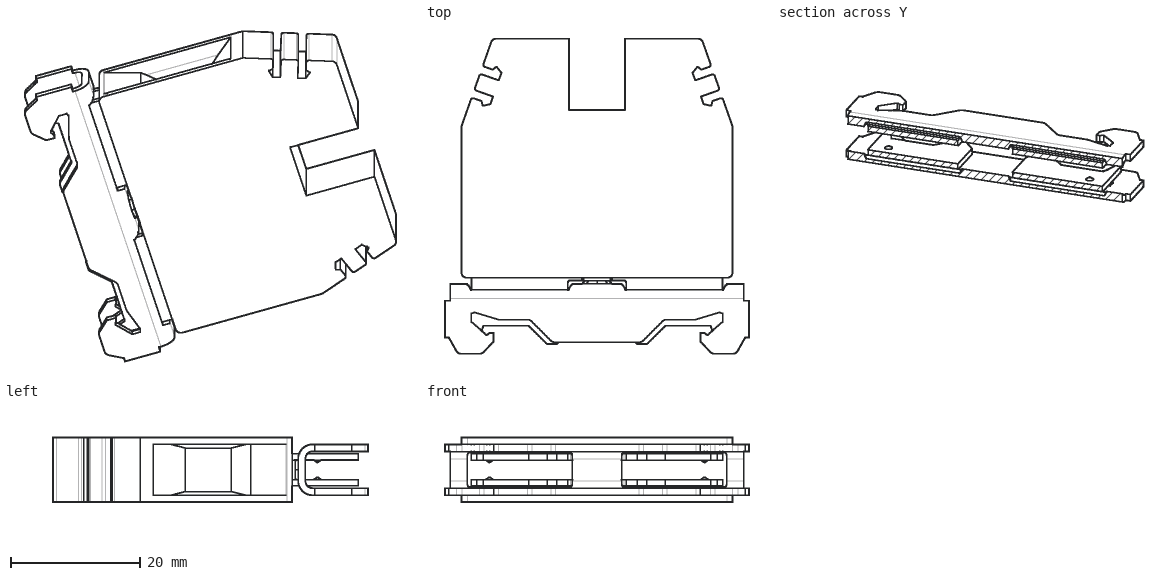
import cadquery as cq
import math


TOTAL_HEIGHT = 48.75

HOUSING_WIDTH = 10.0
HOUSING_HALF_LENGTH = 20.95
HOUSING_BOTTOM = 11.75
HOUSING_CORNER_RADIUS = 0.9
SHOULDER_HEIGHT = 35.2
TOP_HALF_LENGTH = 16.2
TOP_CORNER_RADIUS = 0.85
NOTCH_HALF_LENGTH = 4.3
NOTCH_DEPTH = 11.0

SLOT_DEPTH = 3.05
SLOT_WIDTH = 1.2
SLOT_BARB_START = 1.65
SLOT_BARB_PEAK = 2.05
SLOT_BARB_HEIGHT = 0.65
SLOT_MOUTH_RADIUS = 0.4
LOWER_SLOT_EDGE = 5.95
UPPER_SLOT_EDGE = 8.65

FUNNEL_DEPTH = 4.15
FUNNEL_TOP = 33.25
FUNNEL_FLOOR_TOP = 28.3
FUNNEL_FLOOR_BOTTOM = 21.15
FUNNEL_KNEE_HEIGHT = 18.2
FUNNEL_KNEE_DEPTH = 1.7
FUNNEL_BOTTOM = 12.8
FUNNEL_HALF_WIDTH = 3.95
FUNNEL_FLOOR_HALF_WIDTH = 3.35
FUNNEL_TAPER_START = 2.25

FOOT_HALF_WIDTH = 3.95
SHEET = 1.1
BEND_RADIUS = 2.25
WEB_TOP = 10.85
WEB_HALF_LENGTH = 22.75
FLANGE_HALF_LENGTH = 23.5
FLANGE_SHOULDER = 8.25

HIP_HEIGHT = 2.55
HIP_HALF_LENGTH = 22.9
HEEL = 21.5
HOOK_TOE = 17.8
HOOK_TIP = 16.0
HOOK_TIP_BOTTOM = 1.9
HOOK_TIP_TOP = 3.25
HOOK_TIP_SHELF = 16.6
HOOK_VALLEY = (17.05, 2.95)
POCKET_BOTTOM = 4.97
POCKET_TOP = 6.25
POCKET_PEAK = (18.95, 6.45)
LEDGE_HEIGHT = 5.3
LEDGE_OUTER = 15.25
LEDGE_INNER = 10.4
KEEL_HEIGHT = 1.8
KEEL_HALF_LENGTH = 6.9
FLANGE_CORNER_RADIUS = 0.98

WINDOW_INNER = 3.8
WINDOW_OUTER = 20.1
WINDOW_BEND_ANGLE = 54
WINDOW_FLARE_START = 2.2
WINDOW_FLARE = 0.8

LEG_INNER_FACE = 1.5
LEG_THICKNESS = 0.98
LEG_INNER = 4.5
LEG_OUTER = 19.4
LEG_BOTTOM = 1.5
LEG_CHAMFER_TOP = 3.5
LEG_TOE_INNER = 6.2
LEG_TOE_OUTER = 7.7
LEG_LEDGE = 4.35
LEG_LEDGE_INNER = 10.6
LEG_LEDGE_OUTER = 17.55
PRONG_INNER = 18.6
LEG_BRIDGE_END = 2.3
LEG_BRIDGE_BOTTOM = 11.35
LEG_CORNER_RADIUS = 0.35
PIP_X = 16.65
PIP_Y = 7.85
PIP_RADIUS = 0.6
PIP_HEIGHT = 0.4

STUD_RADIUS = 2.1
STUD_END = 11.3
STUD_SIDES = 8
STUD_TIP_RADIUS = 1.9
STUD_BASE_RADIUS = 2.35

FLANK_ANGLE = math.atan2(HOUSING_HALF_LENGTH - TOP_HALF_LENGTH, TOTAL_HEIGHT - SHOULDER_HEIGHT)


def both_ends(half):
    """Join a half with its mirror image across X = 0."""
    return half.union(half.mirror("YZ"))


def both_sides(half):
    """Join a half with its mirror image across Z = 0."""
    return half.union(half.mirror("XY"))


def plate(points, z_start, thickness):
    """A flat plate with a straight-sided outline."""
    return cq.Workplane("XY").workplane(offset=z_start).polyline(points).close().extrude(thickness)


def block(x_range, y_range, half_width):
    """A box centred on Z = 0."""
    (x0, x1), (y0, y1) = x_range, y_range
    return plate([(x0, y0), (x1, y0), (x1, y1), (x0, y1)], -half_width, 2 * half_width)


def round_upright_edge(body, point, radius):
    """Round the edge along Z that passes nearest to an XY point."""
    nearest = cq.selectors.NearestToPointSelector((point[0], point[1], 0))
    return body.edges("|Z").edges(nearest).fillet(radius)


def flank_point(inward, along):
    """XY point at a depth into the flank and a distance up it from the shoulder."""
    sine = math.sin(FLANK_ANGLE)
    cosine = math.cos(FLANK_ANGLE)
    x = HOUSING_HALF_LENGTH - inward * cosine - along * sine
    y = SHOULDER_HEIGHT - inward * sine + along * cosine
    return x, y


def marker_slot(straight_edge, direction):
    """Slot square to the flank, with a barb on the side that direction (+1 or -1) points to."""
    barbed_edge = straight_edge + direction * SLOT_WIDTH
    barb_tip = barbed_edge + direction * SLOT_BARB_HEIGHT
    outline = [
        (-SLOT_DEPTH, straight_edge),
        (SLOT_DEPTH, straight_edge),
        (SLOT_DEPTH, barbed_edge),
        (SLOT_BARB_PEAK, barb_tip),
        (SLOT_BARB_START, barbed_edge),
        (-SLOT_DEPTH, barbed_edge),
    ]
    points = [flank_point(inward, along) for inward, along in outline]
    return plate(points, -HOUSING_WIDTH / 2, HOUSING_WIDTH)


def wire_funnel():
    """Stepped funnel in the end face, with side walls that close in near its floor."""
    face = HOUSING_HALF_LENGTH
    floor = face - FUNNEL_DEPTH
    taper = face - FUNNEL_TAPER_START
    profile = plate(
        [
            (face, FUNNEL_BOTTOM),
            (face, FUNNEL_TOP),
            (floor, FUNNEL_FLOOR_TOP),
            (floor, FUNNEL_FLOOR_BOTTOM),
            (face - FUNNEL_KNEE_DEPTH, FUNNEL_KNEE_HEIGHT),
        ],
        -FUNNEL_HALF_WIDTH,
        2 * FUNNEL_HALF_WIDTH,
    )
    side_walls = (
        cq.Workplane("XZ")
        .polyline(
            [
                (face, -FUNNEL_HALF_WIDTH),
                (face, FUNNEL_HALF_WIDTH),
                (taper, FUNNEL_HALF_WIDTH),
                (floor, FUNNEL_FLOOR_HALF_WIDTH),
                (floor, -FUNNEL_FLOOR_HALF_WIDTH),
                (taper, -FUNNEL_HALF_WIDTH),
            ]
        )
        .close()
        .extrude(-TOTAL_HEIGHT)
    )
    return profile.intersect(side_walls)


def housing():
    notch_floor = TOTAL_HEIGHT - NOTCH_DEPTH
    bottom_corner = (HOUSING_HALF_LENGTH, HOUSING_BOTTOM)
    top_corner = (TOP_HALF_LENGTH, TOTAL_HEIGHT)
    outline = [
        (0, HOUSING_BOTTOM),
        bottom_corner,
        (HOUSING_HALF_LENGTH, SHOULDER_HEIGHT),
        top_corner,
        (NOTCH_HALF_LENGTH, TOTAL_HEIGHT),
        (NOTCH_HALF_LENGTH, notch_floor),
        (0, notch_floor),
    ]
    half = plate(outline, -HOUSING_WIDTH / 2, HOUSING_WIDTH)
    half = round_upright_edge(half, bottom_corner, HOUSING_CORNER_RADIUS)
    half = round_upright_edge(half, top_corner, TOP_CORNER_RADIUS)
    for straight_edge, direction in ((LOWER_SLOT_EDGE, -1), (UPPER_SLOT_EDGE, 1)):
        half = half.cut(marker_slot(straight_edge, direction))
        for mouth in (straight_edge, straight_edge + direction * SLOT_WIDTH):
            half = round_upright_edge(half, flank_point(0, mouth), SLOT_MOUTH_RADIUS)
    half = half.cut(wire_funnel())
    return both_ends(half)


def flange_half():
    """Right half of the foot before hollowing, from the web down to the rail hook."""
    rounded_corners = [
        (HEEL, 0),
        (HOOK_TOE, 0),
        (LEDGE_INNER, LEDGE_HEIGHT),
        (KEEL_HALF_LENGTH, KEEL_HEIGHT),
    ]
    heel, hook_toe, ledge_corner, keel_corner = rounded_corners
    outline = [
        (0, WEB_TOP),
        (WEB_HALF_LENGTH, WEB_TOP),
        (WEB_HALF_LENGTH, FLANGE_SHOULDER),
        (FLANGE_HALF_LENGTH, FLANGE_SHOULDER),
        (FLANGE_HALF_LENGTH, HIP_HEIGHT),
        (HIP_HALF_LENGTH, HIP_HEIGHT),
        heel,
        hook_toe,
        (HOOK_TIP, HOOK_TIP_BOTTOM),
        (HOOK_TIP, HOOK_TIP_TOP),
        (HOOK_TIP_SHELF, HOOK_TIP_TOP),
        HOOK_VALLEY,
        (LEG_OUTER, POCKET_BOTTOM),
        (LEG_OUTER, POCKET_TOP),
        POCKET_PEAK,
        (LEDGE_OUTER, LEDGE_HEIGHT),
        ledge_corner,
        keel_corner,
        (0, KEEL_HEIGHT),
    ]
    half = plate(outline, -FOOT_HALF_WIDTH, 2 * FOOT_HALF_WIDTH)
    for corner in rounded_corners:
        half = round_upright_edge(half, corner, FLANGE_CORNER_RADIUS)
    return half


def web_window():
    """Opening for a clamping leg, narrowing where it runs part-way round the web's bends."""
    bend_y = WEB_TOP - BEND_RADIUS
    bend_z = FOOT_HALF_WIDTH - BEND_RADIUS
    end_y = bend_y + BEND_RADIUS / math.tan(math.radians(WINDOW_BEND_ANGLE))
    section = (
        cq.Workplane("YZ", origin=(WINDOW_INNER, 0, 0))
        .polyline(
            [
                (bend_y, -bend_z),
                (end_y, -FOOT_HALF_WIDTH),
                (WEB_TOP, -FOOT_HALF_WIDTH),
                (WEB_TOP, FOOT_HALF_WIDTH),
                (end_y, FOOT_HALF_WIDTH),
                (bend_y, bend_z),
            ]
        )
        .close()
        .extrude(WINDOW_OUTER - WINDOW_INNER)
    )
    flared_face = (
        cq.Workplane("XZ")
        .polyline(
            [
                (WINDOW_INNER, -WINDOW_FLARE_START),
                (WINDOW_INNER, WINDOW_FLARE_START),
                (WINDOW_INNER + WINDOW_FLARE, FOOT_HALF_WIDTH),
                (WINDOW_OUTER - WINDOW_FLARE, FOOT_HALF_WIDTH),
                (WINDOW_OUTER, WINDOW_FLARE_START),
                (WINDOW_OUTER, -WINDOW_FLARE_START),
                (WINDOW_OUTER - WINDOW_FLARE, -FOOT_HALF_WIDTH),
                (WINDOW_INNER + WINDOW_FLARE, -FOOT_HALF_WIDTH),
            ]
        )
        .close()
        .extrude(-WEB_TOP)
    )
    return section.intersect(flared_face)


def foot():
    outer = both_ends(flange_half()).edges("|X and >Y").fillet(BEND_RADIUS)
    reach = (-FLANGE_HALF_LENGTH, FLANGE_HALF_LENGTH)
    inner = block(reach, (-SHEET, WEB_TOP - SHEET), FOOT_HALF_WIDTH - SHEET)
    inner = inner.edges("|X and >Y").fillet(BEND_RADIUS - SHEET)
    return outer.cut(inner).cut(both_ends(web_window()))


def leg():
    """One clamping leg with a hooked prong at its outer end and a pip on its inner face."""
    bridge_corner = (LEG_INNER, LEG_BRIDGE_BOTTOM)
    outline = [
        (LEG_BRIDGE_END, HOUSING_BOTTOM),
        (LEG_BRIDGE_END, LEG_BRIDGE_BOTTOM),
        bridge_corner,
        (LEG_INNER, LEG_CHAMFER_TOP),
        (LEG_TOE_INNER, LEG_BOTTOM),
        (LEG_TOE_OUTER, LEG_BOTTOM),
        (LEG_LEDGE_INNER, LEG_LEDGE),
        (LEG_LEDGE_OUTER, LEG_LEDGE),
        (PRONG_INNER, LEG_BOTTOM),
        (LEG_OUTER, LEG_BOTTOM),
        (LEG_OUTER, HOUSING_BOTTOM),
    ]
    body = plate(outline, LEG_INNER_FACE, LEG_THICKNESS)
    body = round_upright_edge(body, bridge_corner, LEG_CORNER_RADIUS)
    pip = cq.Solid.makeCone(
        PIP_RADIUS, 0, PIP_HEIGHT, cq.Vector(PIP_X, PIP_Y, LEG_INNER_FACE), cq.Vector(0, 0, -1)
    )
    return body.union(cq.Workplane(pip))


def stud():
    """Round stud under the housing that ends in a flared octagon seated in the web."""
    shank = cq.Workplane("XZ", origin=(0, HOUSING_BOTTOM, 0)).circle(STUD_RADIUS)
    shank = shank.extrude(HOUSING_BOTTOM - STUD_END)
    flare = (
        cq.Workplane("XZ", origin=(0, STUD_END, 0))
        .polygon(STUD_SIDES, 2 * STUD_TIP_RADIUS)
        .workplane(offset=STUD_END - WEB_TOP)
        .polygon(STUD_SIDES, 2 * STUD_BASE_RADIUS)
        .loft(ruled=True)
    )
    return shank.union(flare)


legs = both_sides(both_ends(leg()))
result = housing().union(legs).union(stud()).union(foot())